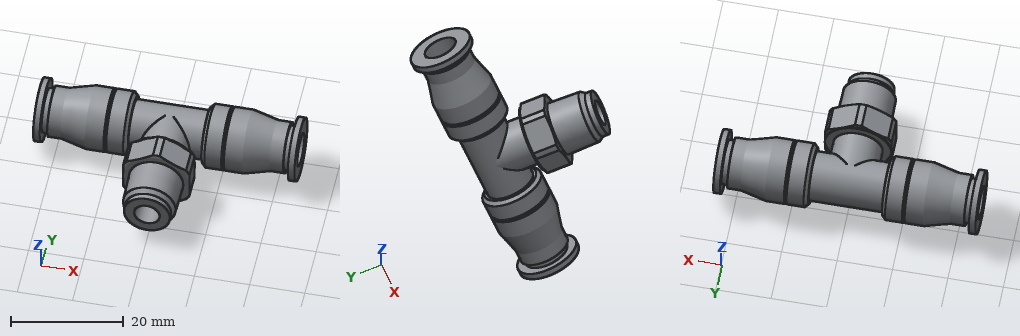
import cadquery as cq
import math


run_length = 47.3
half_run = run_length / 2
pipe_diameter = 8.93
tube_bore_diameter = 6.0
tube_bore_depth = 13.0
through_bore_diameter = 4.6

collar_diameter = 11.5
neck_diameter = 8.05
sleeve_diameter = 9.2
flange_end = 1.2
neck_end = 2.3
sleeve_end = 4.75
cone_end = 9.4
groove_center = 13.0
groove_half_width = 0.25
groove_depth = 0.25
collar_end = 17.0
collar_chamfer = 0.7

flat_width = 1.0

branch_length = 20.5
washer_start = 7.4
hex_start = 7.6
hex_end = 12.4
thread_end = 18.4
tip_start = 19.35
hex_sides = 6
hex_half_sector = 180 / hex_sides
hex_across_flats = 12.0
hex_corner_diameter = 13.2
hex_chamfer_angle = 15.0
thread_base_diameter = 9.84
thread_end_diameter = 9.52
tip_diameter = 8.32


def push_in_end():
    """Stepped sleeve at the -X end, revolved about the X axis."""
    collar_radius = collar_diameter / 2
    neck_radius = neck_diameter / 2
    sleeve_radius = sleeve_diameter / 2
    profile = [
        (0, 0),
        (0, collar_radius),
        (flange_end, collar_radius),
        (flange_end, neck_radius),
        (neck_end, neck_radius),
        (neck_end, sleeve_radius),
        (sleeve_end, sleeve_radius),
        (cone_end, collar_radius),
        (groove_center - groove_half_width, collar_radius),
        (groove_center, collar_radius - groove_depth),
        (groove_center + groove_half_width, collar_radius),
        (collar_end - collar_chamfer, collar_radius),
        (collar_end, collar_radius - collar_chamfer),
        (collar_end, 0),
    ]
    sleeve = cq.Workplane("XY").polyline(profile).close().revolve(360, (0, 0, 0), (1, 0, 0))
    return sleeve.translate((-half_run, 0, 0))


def run_cylinder(diameter, start, length):
    """Cylinder on the X axis starting at X = start."""
    return cq.Workplane("YZ", origin=(start, 0, 0)).circle(diameter / 2).extrude(length)


def branch_cylinder(diameter, start, end):
    """Cylinder on the branch axis between two distances from the run axis."""
    return cq.Workplane("XZ", origin=(0, -start, 0)).circle(diameter / 2).extrude(end - start)


def run_pipe():
    """Middle pipe between the collars, with the narrow flat on its -Y side."""
    pipe_half_length = half_run - collar_end
    pipe = run_cylinder(pipe_diameter, -pipe_half_length, 2 * pipe_half_length)
    flat_distance = math.sqrt((pipe_diameter / 2) ** 2 - (flat_width / 2) ** 2)
    beyond_flat = cq.Workplane("XY").box(2 * pipe_half_length, pipe_diameter, pipe_diameter)
    beyond_flat = beyond_flat.translate((0, -flat_distance - pipe_diameter / 2, 0))
    return pipe.cut(beyond_flat)


def hex_nut():
    """Hexagon with flats facing +X and -X, rounded corners and chamfered ends."""
    corner_radius = hex_corner_diameter / 2
    face_radius = hex_across_flats / 2
    chamfer_length = (corner_radius - face_radius) * math.tan(math.radians(hex_chamfer_angle))
    across_corners = hex_across_flats / math.cos(math.radians(hex_half_sector))
    hexagon = (
        cq.Workplane("XZ", origin=(0, -hex_start, 0))
        .transformed(rotate=(0, 0, hex_half_sector))
        .polygon(hex_sides, across_corners)
        .extrude(hex_end - hex_start)
    )
    envelope_profile = [
        (0, -hex_start),
        (face_radius, -hex_start),
        (corner_radius, -hex_start - chamfer_length),
        (corner_radius, -hex_end + chamfer_length),
        (face_radius, -hex_end),
        (0, -hex_end),
    ]
    envelope = cq.Workplane("XY").polyline(envelope_profile).close().revolve(360, (0, 0, 0), (0, 1, 0))
    return hexagon.intersect(envelope)


def threaded_end():
    """Tapered thread body, lead-in chamfer and plain tip, revolved about the Y axis."""
    profile = [
        (0, -hex_end),
        (thread_base_diameter / 2, -hex_end),
        (thread_end_diameter / 2, -thread_end),
        (tip_diameter / 2, -tip_start),
        (tip_diameter / 2, -branch_length),
        (0, -branch_length),
    ]
    return cq.Workplane("XY").polyline(profile).close().revolve(360, (0, 0, 0), (0, 1, 0))


left_end = push_in_end()
right_end = left_end.mirror("YZ")
body = run_pipe().union(left_end).union(right_end)
body = body.union(branch_cylinder(pipe_diameter, 0, washer_start))
body = body.union(branch_cylinder(hex_across_flats, washer_start, hex_start))
body = body.union(hex_nut()).union(threaded_end())

body = body.cut(run_cylinder(through_bore_diameter, -half_run, run_length))
body = body.cut(branch_cylinder(through_bore_diameter, 0, branch_length))
for socket_start in (-half_run, half_run - tube_bore_depth):
    body = body.cut(run_cylinder(tube_bore_diameter, socket_start, tube_bore_depth))

result = body